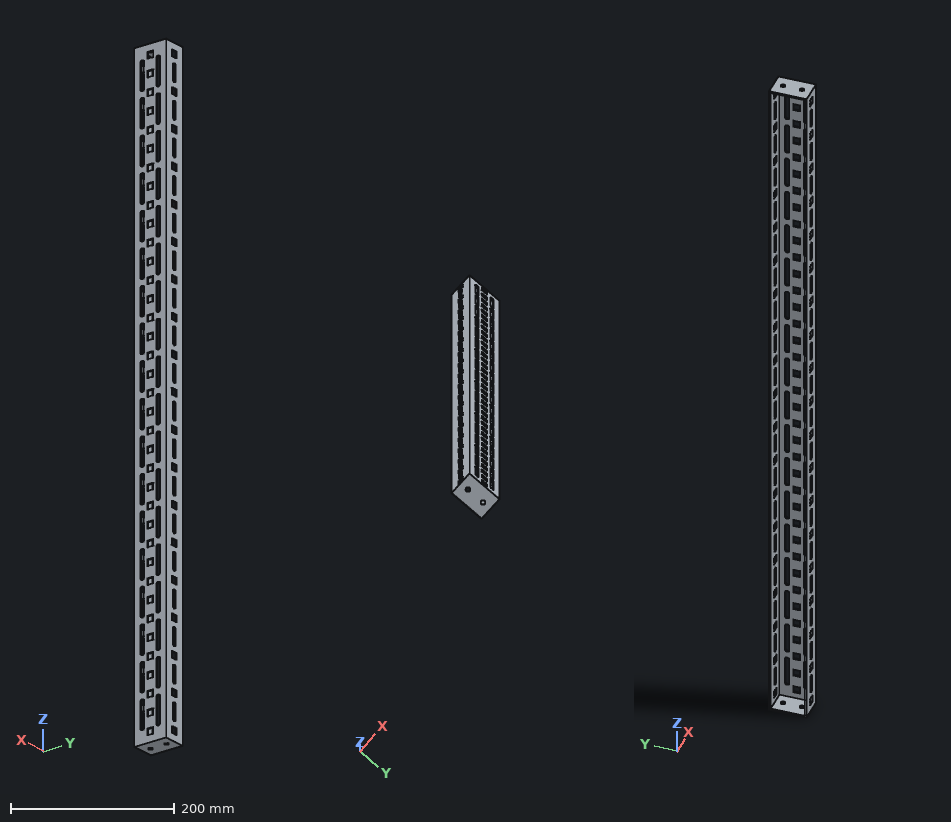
import cadquery as cq

depth = 33.0
width = 49.0
length = 929.0
sheet = 2.3

pitch_count = 18
end_margin = 15.0
square_side = 8.8
slot_width = 6.0
web_slot_length = 41.0
web_slot_offset = width / 4
flange_slot_length = 25.0

end_hole_diameter = 6.0
end_hole_offset = web_slot_offset

first_step = end_margin - length / 2
pitch = (length - 2 * end_margin) / pitch_count
full_steps = [first_step + i * pitch for i in range(pitch_count + 1)]
mid_steps = [z + pitch / 2 for z in full_steps[:-1]]


def channel_body():
    """Sheet channel with its web at +X, flanges at +Y and -Y, and a plate closing each end."""
    block = cq.Workplane("XY").box(depth, width, length)
    cavity = cq.Workplane("XY").box(depth, width - 2 * sheet, length - 2 * sheet)
    return block.cut(cavity.translate((-sheet, 0, 0)))


def punch(body, plane, squares, slots, slot_length, reach):
    """Cut square holes and round-ended slots along Z; `reach` is the cut depth along the plane normal."""
    square_cutters = plane.pushPoints(squares).rect(square_side, square_side).extrude(reach, both=True)
    slot_cutters = plane.pushPoints(slots).slot2D(slot_length, slot_width, 90).extrude(reach, both=True)
    return body.cut(square_cutters).cut(slot_cutters)


def punch_web(body):
    """Squares every half pitch down the middle of the web, with a row of long slots on each side."""
    plane = cq.Workplane("YZ", origin=(depth / 2, 0, 0))
    squares = [(0, z) for z in full_steps + mid_steps]
    slots = [(y, z) for z in mid_steps for y in (-web_slot_offset, web_slot_offset)]
    return punch(body, plane, squares, slots, web_slot_length, 2 * sheet)


def punch_flanges(body):
    """Squares alternating with short slots, through both flanges."""
    plane = cq.Workplane("XZ")
    squares = [(0, z) for z in full_steps]
    slots = [(0, z) for z in mid_steps]
    return punch(body, plane, squares, slots, flange_slot_length, width)


def drill_ends(body):
    """Two round holes through both end plates."""
    points = [(0, -end_hole_offset), (0, end_hole_offset)]
    drills = cq.Workplane("XY").pushPoints(points).circle(end_hole_diameter / 2).extrude(length, both=True)
    return body.cut(drills)


result = drill_ends(punch_flanges(punch_web(channel_body())))